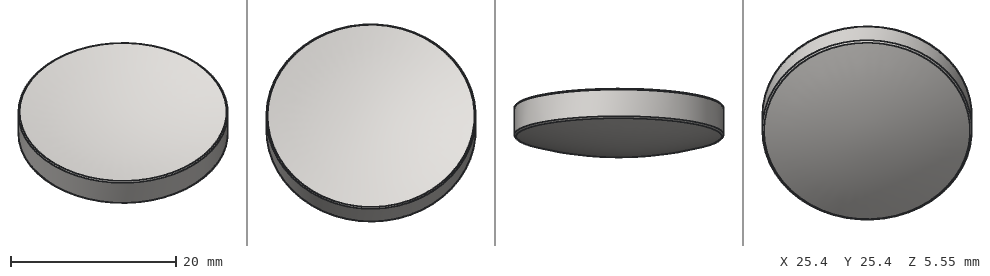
import cadquery as cq

diameter = 25.4
height = 5.55
convex_sag = 1.9
concave_sag = 1.52
top_bevel = 0.18
bottom_bevel_width = 0.23
bottom_bevel_height = 0.23

radius = diameter / 2
top_rim_radius = radius - top_bevel
bottom_rim_radius = radius - bottom_bevel_width


def sphere_radius(rim_radius, sag):
    """Radius of the sphere whose cap has this rim radius and depth."""
    return (rim_radius**2 + sag**2) / (2 * sag)


def sag_at(distance, curvature_radius):
    """Depth of a spherical surface at a distance from the axis."""
    return curvature_radius - (curvature_radius**2 - distance**2) ** 0.5


convex_radius = sphere_radius(bottom_rim_radius, convex_sag)
concave_radius = sphere_radius(top_rim_radius, concave_sag)
hollow_bottom = height - concave_sag

section = (
    cq.Workplane("XZ")
    .moveTo(0, 0)
    .threePointArc(
        (bottom_rim_radius / 2, sag_at(bottom_rim_radius / 2, convex_radius)),
        (bottom_rim_radius, convex_sag),
    )
    .lineTo(radius, convex_sag + bottom_bevel_height)
    .lineTo(radius, height - top_bevel)
    .lineTo(top_rim_radius, height)
    .threePointArc(
        (top_rim_radius / 2, hollow_bottom + sag_at(top_rim_radius / 2, concave_radius)),
        (0, hollow_bottom),
    )
    .close()
)

result = section.revolve(360, (0, 0, 0), (0, 1, 0))